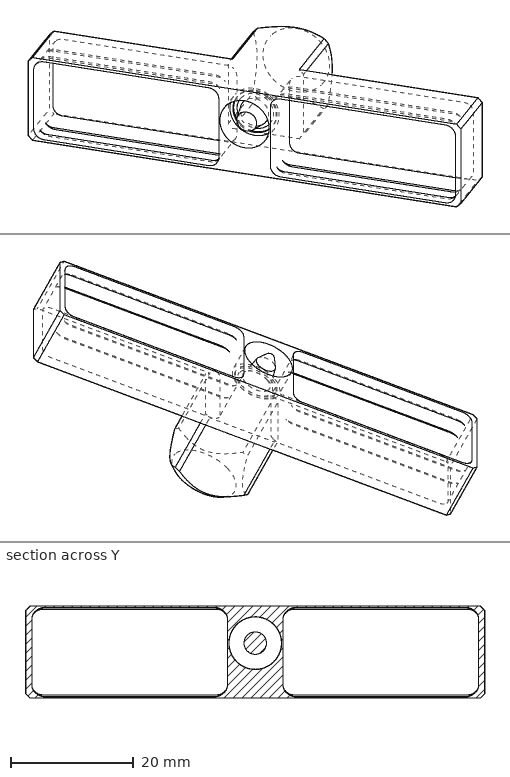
import cadquery as cq
import math

BAR_LENGTH = 74.95
BAR_DEPTH = 10.4
BAR_HEIGHT = 15.1
EDGE_CHAMFER = 0.75

PIN_AXIS_DROP = 6.1
BOSS_HALF_WIDTH = 6.5
BOSS_LENGTH = 14.8
BOSS_END_RADIUS = 5.8

POCKET_DEPTH = 9.1
POCKET_INNER_EDGE = 4.6
POCKET_END_WALL = 1.05
POCKET_RIM_WALL = 0.56
POCKET_CORNER_RADIUS = 1.65
MOUTH_FLARE = 0.11
MOUTH_DEPTH = 0.75

GROOVE_FRONT = 1.8
GROOVE_WIDTH = 2.7
GROOVE_DEPTH = 0.3
GROOVE_CORNER_RADIUS = 2.1

WELL_RADIUS = 4.3
WELL_DEPTH = 4.9
WELL_STEP_RADIUS = 3.75
WELL_STEP_DEPTH = 0.4
PIN_BASE_RADIUS = 3.15
PIN_MIDDLE_RADIUS = 2.5
PIN_MIDDLE_DEPTH = 4.8
PIN_NECK_RADIUS = 1.7
PIN_NECK_DEPTH = 1.05
PIN_TIP_RADIUS = 0.8
PIN_TIP_REACH = 0.5
PIN_REACH = 1.05

TOP_Z = BAR_HEIGHT / 2
PIN_Z = TOP_Z - PIN_AXIS_DROP


def block(x_min, x_max, y_min, y_max, z_min, z_max):
    """Box given by its limits."""
    size = (x_max - x_min, y_max - y_min, z_max - z_min)
    return cq.Workplane("XY").box(*size, centered=False).translate((x_min, y_min, z_min))


def make_bar():
    half = BAR_LENGTH / 2
    return block(-half, half, 0, BAR_DEPTH, -TOP_Z, TOP_Z).edges("|Y").chamfer(EDGE_CHAMFER)


def turn_about_pin_axis(profile):
    """Revolve a closed profile, drawn in the XY plane, about the pin axis."""
    return profile.revolve(360, (0, 0, 0), (0, 1, 0)).translate((0, 0, PIN_Z))


def make_boss():
    """Chamfered block whose free end is trimmed by a 45 degree cone."""
    end_y = BAR_DEPTH + BOSS_LENGTH
    stub = block(
        -BOSS_HALF_WIDTH, BOSS_HALF_WIDTH, BAR_DEPTH / 2, end_y, PIN_Z - BOSS_HALF_WIDTH, TOP_Z
    )
    stub = stub.edges("|Y").chamfer(EDGE_CHAMFER)
    reach = BOSS_LENGTH + BAR_DEPTH / 2
    cone = (
        cq.Workplane("XY")
        .moveTo(0, end_y)
        .lineTo(BOSS_END_RADIUS, end_y)
        .lineTo(BOSS_END_RADIUS + reach, end_y - reach)
        .lineTo(0, end_y - reach)
        .close()
    )
    return stub.intersect(turn_about_pin_axis(cone))


def make_pocket(side):
    """Pocket with a flared mouth and its grooves; side is -1 or 1."""
    width = BAR_LENGTH / 2 - POCKET_END_WALL - POCKET_INNER_EDGE
    height = BAR_HEIGHT - 2 * POCKET_RIM_WALL
    x_min = -width / 2
    x_max = width / 2
    z_max = height / 2
    body = block(x_min, x_max, 0, POCKET_DEPTH, -z_max, z_max)
    body = body.edges("|Y").fillet(POCKET_CORNER_RADIUS)
    mouth_radius = POCKET_CORNER_RADIUS + MOUTH_FLARE
    mouth = (
        cq.Workplane("XZ")
        .sketch()
        .rect(width + 2 * MOUTH_FLARE, height + 2 * MOUTH_FLARE)
        .vertices()
        .fillet(mouth_radius)
        .finalize()
        .extrude(-MOUTH_DEPTH, taper=math.degrees(math.atan2(MOUTH_FLARE, MOUTH_DEPTH)))
    )
    groove_z = z_max + GROOVE_DEPTH
    groove = block(x_min, x_max, GROOVE_FRONT, GROOVE_FRONT + GROOVE_WIDTH, -groove_z, groove_z)
    groove = groove.edges("|Y").fillet(GROOVE_CORNER_RADIUS)
    return body.union(mouth).union(groove).translate((side * (POCKET_INNER_EDGE + width / 2), 0, 0))


def make_well():
    """Round well around the pin, with a narrower step in its floor."""
    floor_y = WELL_DEPTH + WELL_STEP_DEPTH
    profile = (
        cq.Workplane("XY")
        .lineTo(WELL_RADIUS, 0)
        .lineTo(WELL_RADIUS, WELL_DEPTH)
        .lineTo(WELL_STEP_RADIUS, WELL_DEPTH)
        .lineTo(WELL_STEP_RADIUS, floor_y)
        .lineTo(0, floor_y)
        .close()
    )
    return turn_about_pin_axis(profile)


def make_pin():
    """Cone in three slopes with a domed tip that stands proud of the front face."""
    floor_y = WELL_DEPTH + WELL_STEP_DEPTH
    dome_height = PIN_REACH - PIN_TIP_REACH
    dome_radius = (PIN_TIP_RADIUS**2 + dome_height**2) / (2 * dome_height)
    dome_centre_y = dome_radius - PIN_REACH
    half_angle = math.asin(PIN_TIP_RADIUS / dome_radius) / 2
    dome_middle = (dome_radius * math.sin(half_angle), dome_centre_y - dome_radius * math.cos(half_angle))
    profile = (
        cq.Workplane("XY")
        .moveTo(0, floor_y)
        .lineTo(PIN_BASE_RADIUS, floor_y)
        .lineTo(PIN_MIDDLE_RADIUS, PIN_MIDDLE_DEPTH)
        .lineTo(PIN_NECK_RADIUS, PIN_NECK_DEPTH)
        .lineTo(PIN_TIP_RADIUS, -PIN_TIP_REACH)
        .threePointArc(dome_middle, (0, -PIN_REACH))
        .close()
    )
    return turn_about_pin_axis(profile)


result = make_bar().union(make_boss()).cut(make_well())
for pocket_side in (-1, 1):
    result = result.cut(make_pocket(pocket_side))
result = result.union(make_pin())